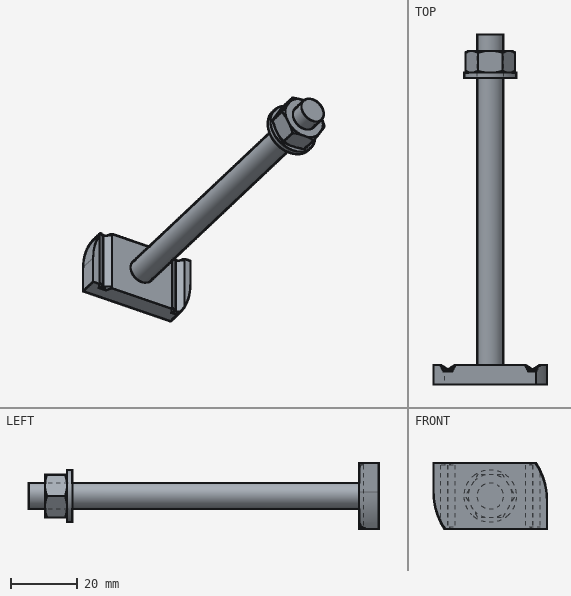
import cadquery as cq
import math

bolt_length = 106.0
head_width = 34.5
head_height = 20.0
head_thickness = 5.9
head_corner_radius = head_height
corner_arc_height = 11.2
shaft_diameter = 8.0

groove_offset = 12.8
groove_width = 4.5
groove_crest_depth = 1.4
groove_crest_floor = 0.2
groove_end_depth = 1.9
groove_end_floor = 2.5
groove_lead_in = 0.6

nut_across_flats = 13.0
nut_thickness = 6.6
nut_chamfer_angle = 30.0
nut_chamfer_diameter = 13.2
thread_projection = 5.0
washer_diameter = 15.9
washer_thickness = 1.7

nut_end = bolt_length - thread_projection
nut_start = nut_end - nut_thickness
washer_start = nut_start - washer_thickness


def cylinder(diameter, start, length):
    """Cylinder about the Y axis, running toward +Y from the start position."""
    solid = cq.Solid.makeCylinder(diameter / 2, length, cq.Vector(0, start, 0), cq.Vector(0, 1, 0))
    return cq.Workplane(solid)


def corner_arc_inset(height):
    """Sideways shift of a corner arc at the given height above its tangent point."""
    return head_corner_radius - math.sqrt(head_corner_radius**2 - height**2)


def make_head_blank():
    """Plate with two opposite rounded corners that let it turn inside a channel."""
    half_width = head_width / 2
    half_height = head_height / 2
    tangent_height = half_height - corner_arc_height
    mid_height = tangent_height + corner_arc_height / 2
    arc_mid_x = half_width - corner_arc_inset(corner_arc_height / 2)
    arc_end_x = half_width - corner_arc_inset(corner_arc_height)
    return (
        cq.Workplane("XZ")
        .moveTo(-half_width, half_height)
        .lineTo(arc_end_x, half_height)
        .threePointArc((arc_mid_x, mid_height), (half_width, tangent_height))
        .lineTo(half_width, -half_height)
        .lineTo(-arc_end_x, -half_height)
        .threePointArc((-arc_mid_x, -mid_height), (-half_width, -tangent_height))
        .close()
        .extrude(-head_thickness)
    )


def groove_section(center_x, z, floor_width, depth):
    """Closed trapezoidal groove outline at the given height."""
    half_width = groove_width / 2
    floor_y = head_thickness - depth
    points = [
        (center_x - half_width, head_thickness, z),
        (center_x - floor_width / 2, floor_y, z),
        (center_x + floor_width / 2, floor_y, z),
        (center_x + half_width, head_thickness, z),
    ]
    return cq.Wire.makePolygon([cq.Vector(*point) for point in points], close=True)


def make_groove_cutter(center_x):
    """V groove along Z that deepens to a flat floor through a short taper at each end."""
    end_z = head_height / 2
    taper_z = end_z - groove_lead_in
    levels = [
        (-end_z, groove_end_floor, groove_end_depth),
        (-taper_z, groove_crest_floor, groove_crest_depth),
        (taper_z, groove_crest_floor, groove_crest_depth),
        (end_z, groove_end_floor, groove_end_depth),
    ]
    sections = [groove_section(center_x, *level) for level in levels]
    return cq.Workplane(cq.Solid.makeLoft(sections, True))


def make_bolt():
    """T-head bolt with a plain shaft and two grooves in the clamping face."""
    head = make_head_blank()
    for side in (-1, 1):
        head = head.cut(make_groove_cutter(side * groove_offset))
    return head.union(cylinder(shaft_diameter, 0, bolt_length))


def make_washer():
    """Flat washer fitting closely round the shaft."""
    washer = cylinder(washer_diameter, washer_start, washer_thickness)
    return washer.cut(cylinder(shaft_diameter, washer_start, washer_thickness))


def make_nut():
    """Hexagon nut with flats facing +Z and -Z and both ends chamfered conically."""
    across_corners = nut_across_flats / math.cos(math.radians(30))
    corner_radius = across_corners / 2
    chamfer_radius = nut_chamfer_diameter / 2
    chamfer_height = (corner_radius - chamfer_radius) * math.tan(math.radians(nut_chamfer_angle))
    hexagon = (
        cq.Workplane("XZ", origin=(0, nut_start, 0))
        .polygon(6, across_corners)
        .extrude(-nut_thickness)
    )
    chamfer_envelope = (
        cq.Workplane("XY")
        .moveTo(0, nut_start)
        .lineTo(chamfer_radius, nut_start)
        .lineTo(corner_radius, nut_start + chamfer_height)
        .lineTo(corner_radius, nut_end - chamfer_height)
        .lineTo(chamfer_radius, nut_end)
        .lineTo(0, nut_end)
        .close()
        .revolve(360, (0, 0, 0), (0, 1, 0))
    )
    bore = cylinder(shaft_diameter, nut_start, nut_thickness)
    return hexagon.intersect(chamfer_envelope).cut(bore)


bolt = make_bolt()
washer = make_washer()
nut = make_nut()

result = cq.Compound.makeCompound([bolt.val(), washer.val(), nut.val()])